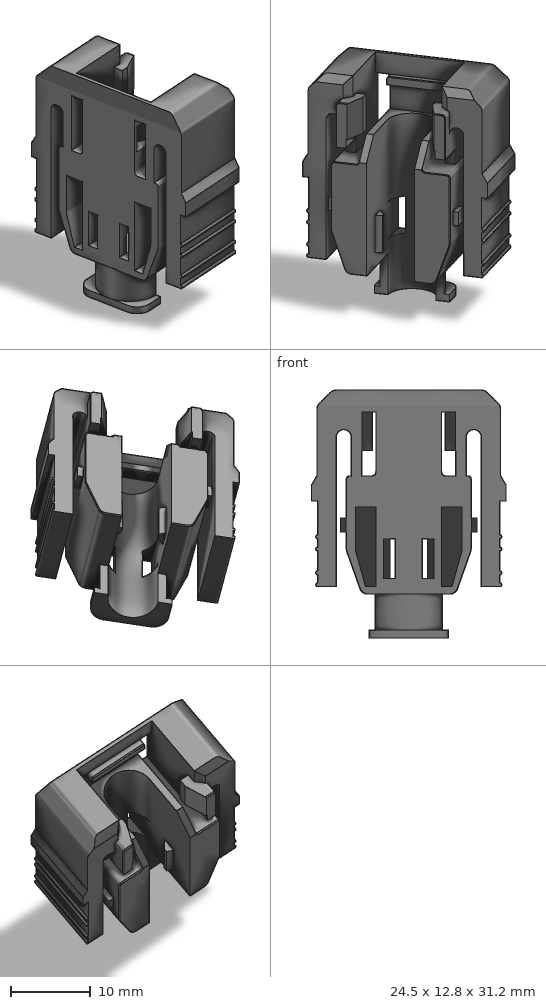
import cadquery as cq
import math

HEIGHT = 31.2
FRAME_DEPTH = 11.0
FRAME_HALF = 11.55
PANEL = 1.05
TOP_BEVEL = 2.0
BEVEL_ROUND = 1.0
FRONT_TAPER_ANGLE = 15.0
BACK_BEVEL = 1.0
CAVITY_HALF = 5.9

LEG_OUTER = 11.45
LEG_INNER = 9.1
LEG_BOTTOM = 6.45
LATCH_WIDTH = 24.5
LATCH_HALF = LATCH_WIDTH / 2
LATCH_BOTTOM = 17.22
LATCH_TOP = 19.25
LATCH_RAMP_TOP = 20.45
RIB_RADIUS = 0.25
RIB_HEIGHTS = (6.7, 8.2, 11.2, 12.73)

STEM_OUTER = 7.25
SLOT_TOP = 26.2
SLOT_RADIUS = (LEG_INNER - STEM_OUTER) / 2

BODY_DEPTH = 12.8
BODY_HALF = 7.85
BODY_TOP = 20.4
BODY_BOTTOM = 5.52
BODY_TAPER_TOP = 11.05
BODY_BOTTOM_HALF = 5.9
BODY_BOTTOM_ROUND = 1.0
CORNER_ROUND = 0.5
SHOULDER_ROUND = 0.45

EASE_LENGTH = 0.2
EASE_ANGLE = 20.0

CHANNEL_RADIUS = 3.18
CHANNEL_OUTER = 4.15
CHANNEL_TOP = 23.6
CHANNEL_SLOPE_DROP = 2.87

BAR_BOTTOM = 27.27
BAR_DEPTH = 2.03
WINDOW_TOP = 28.42
THIN_PANEL = 0.5

TOWER_BOTTOM = 22.43
HOOK_FRONT = 8.8
HOOK_STRAIGHT_BACK = 9.85
HOOK_TIP = 4.6
HOOK_ROOT = 5.77

POCKET_TOP = 16.47
POCKET_TAPER_TOP = BODY_TAPER_TOP
POCKET_OUTER = 6.7
POCKET_BOTTOM_OUTER = 5.43
POCKET_DEPTH = BODY_DEPTH - PANEL
PORT_INNER = 1.72
PORT_BOTTOM = 7.52
PORT_TOP = 12.48

CATCH_TIP = 2.35
CATCH_FRONT = 7.35
CATCH_TIP_FRONT = 8.45
CATCH_TIP_BACK = 9.0
CATCH_BACK = 9.33
TAB_TIP = 8.6
TAB_BOTTOM = 13.32
TAB_TOP = 15.13
TAB_FRONT = 9.55
TAB_BACK = 11.55

PIN_RADIUS = 4.25
FLANGE_HALF = 5.0
FLANGE_THICKNESS = 1.0
FLANGE_ROUND = 2.03


def box(x0, x1, y0, y1, z0, z1):
    return cq.Workplane("XY").box(x1 - x0, y1 - y0, z1 - z0, centered=False).translate((x0, y0, z0))


def both(half):
    """Return a right-hand shape together with its mirror image."""
    return half.union(half.mirror("YZ"))


def front_prism(outline, depth):
    """Extrude a closed outline of (x, z) points from the front face toward +Y."""
    return cq.Workplane("XZ").polyline(outline).close().extrude(-depth)


def round_edge(prism, x, z, radius):
    """Round the front-to-back edge of a prism that runs through (x, z)."""
    middle = prism.val().Center().y
    return prism.edges(cq.selectors.NearestToPointSelector((x, middle, z))).fillet(radius)


def ease_back_end(prism):
    """Extend a front-to-back prism by a short tapered end."""
    back_outline = prism.faces(">Y").wires().toPending().workplane()
    end = back_outline.extrude(EASE_LENGTH, taper=EASE_ANGLE, combine=False)
    return prism.union(end)


def make_frame():
    half = front_prism(
        [
            (0, HEIGHT),
            (FRAME_HALF - TOP_BEVEL, HEIGHT),
            (FRAME_HALF, HEIGHT - TOP_BEVEL),
            (FRAME_HALF, LATCH_RAMP_TOP),
            (LATCH_HALF, LATCH_TOP),
            (LATCH_HALF, LATCH_BOTTOM),
            (LEG_OUTER, LATCH_BOTTOM),
            (LEG_OUTER, LEG_BOTTOM),
            (0, LEG_BOTTOM),
        ],
        FRAME_DEPTH,
    )
    half = round_edge(half, FRAME_HALF - TOP_BEVEL, HEIGHT, BEVEL_ROUND)
    half = round_edge(half, FRAME_HALF, HEIGHT - TOP_BEVEL, BEVEL_ROUND)

    slot_middle = LEG_INNER - SLOT_RADIUS
    slot = box(STEM_OUTER, LEG_INNER, 0, FRAME_DEPTH, LEG_BOTTOM, SLOT_TOP - SLOT_RADIUS)
    slot_end = (
        cq.Workplane("XZ")
        .center(slot_middle, SLOT_TOP - SLOT_RADIUS)
        .circle(SLOT_RADIUS)
        .extrude(-FRAME_DEPTH)
    )
    below_panel = box(0, LEG_INNER, 0, FRAME_DEPTH, LEG_BOTTOM, BODY_TOP)
    cavity = box(0, CAVITY_HALF, PANEL, FRAME_DEPTH, BODY_TOP, HEIGHT)
    half = half.cut(slot).cut(slot_end).cut(below_panel).cut(cavity)

    for height in RIB_HEIGHTS:
        rib = cq.Workplane("XZ").center(LEG_OUTER, height).circle(RIB_RADIUS).extrude(-FRAME_DEPTH)
        half = half.union(rib)
    return both(half)


def bevel_frame_top(frame):
    taper_depth = TOP_BEVEL * math.tan(math.radians(FRONT_TAPER_ANGLE))
    front_wedge = (
        cq.Workplane("YZ")
        .polyline([(0, HEIGHT - TOP_BEVEL), (taper_depth, HEIGHT), (0, HEIGHT)])
        .close()
        .extrude(FRAME_HALF, both=True)
    )
    back_wedge = (
        cq.Workplane("YZ")
        .polyline(
            [(FRAME_DEPTH - BACK_BEVEL, HEIGHT), (FRAME_DEPTH, HEIGHT), (FRAME_DEPTH, HEIGHT - BACK_BEVEL)]
        )
        .close()
        .extrude(FRAME_HALF, both=True)
    )
    inner_wedge = (
        cq.Workplane("XY")
        .workplane(offset=WINDOW_TOP)
        .polyline(
            [
                (CAVITY_HALF, FRAME_DEPTH - BACK_BEVEL),
                (CAVITY_HALF + BACK_BEVEL, FRAME_DEPTH),
                (CAVITY_HALF, FRAME_DEPTH),
            ]
        )
        .close()
        .extrude(HEIGHT - WINDOW_TOP)
    )
    return frame.cut(front_wedge).cut(back_wedge).cut(both(inner_wedge))


def make_towers():
    block = box(0, STEM_OUTER, 0, BODY_DEPTH - EASE_LENGTH, BODY_TOP, WINDOW_TOP)
    block = ease_back_end(block.edges("|Y and >X and >Z").fillet(CORNER_ROUND))
    stem = box(CAVITY_HALF, STEM_OUTER, HOOK_FRONT, BODY_DEPTH, TOWER_BOTTOM, WINDOW_TOP)
    hook = (
        cq.Workplane("XY")
        .workplane(offset=CHANNEL_TOP)
        .polyline(
            [
                (CAVITY_HALF, HOOK_FRONT),
                (HOOK_TIP, HOOK_FRONT),
                (HOOK_TIP, HOOK_STRAIGHT_BACK),
                (HOOK_ROOT, BODY_DEPTH),
                (CAVITY_HALF, BODY_DEPTH),
            ]
        )
        .close()
        .extrude(WINDOW_TOP - CHANNEL_TOP)
    )
    return both(stem.union(hook).intersect(block))


def make_body():
    """Body with side pockets and tabs, and the channel walls that rise above it."""
    half = front_prism(
        [
            (0, CHANNEL_TOP),
            (CHANNEL_OUTER, CHANNEL_TOP),
            (CHANNEL_OUTER, BODY_TOP),
            (BODY_HALF, BODY_TOP),
            (BODY_HALF, BODY_TAPER_TOP),
            (BODY_BOTTOM_HALF, BODY_BOTTOM),
            (0, BODY_BOTTOM),
        ],
        BODY_DEPTH - EASE_LENGTH,
    )
    half = round_edge(half, CHANNEL_OUTER, BODY_TOP, CORNER_ROUND)
    half = round_edge(half, BODY_HALF, BODY_TOP, SHOULDER_ROUND)
    half = round_edge(half, BODY_HALF, BODY_TAPER_TOP, BODY_BOTTOM_ROUND)
    half = round_edge(half, BODY_BOTTOM_HALF, BODY_BOTTOM, BODY_BOTTOM_ROUND)
    half = ease_back_end(half)

    wall_slope = (
        cq.Workplane("YZ")
        .polyline(
            [
                (BODY_DEPTH, CHANNEL_TOP - CHANNEL_SLOPE_DROP),
                (BODY_DEPTH, CHANNEL_TOP),
                (BODY_DEPTH - CHANNEL_SLOPE_DROP, CHANNEL_TOP),
            ]
        )
        .close()
        .extrude(CHANNEL_OUTER)
    )
    pocket = front_prism(
        [
            (CHANNEL_OUTER, POCKET_TOP),
            (POCKET_OUTER, POCKET_TOP),
            (POCKET_OUTER, POCKET_TAPER_TOP),
            (POCKET_BOTTOM_OUTER, LEG_BOTTOM),
            (CHANNEL_OUTER, LEG_BOTTOM),
        ],
        POCKET_DEPTH,
    )
    tab = box(BODY_HALF, TAB_TIP, TAB_FRONT, TAB_BACK, TAB_BOTTOM, TAB_TOP)
    return both(half.cut(wall_slope).cut(pocket).union(tab))


def make_bar():
    bar = box(-CHANNEL_OUTER, CHANNEL_OUTER, PANEL, BAR_DEPTH - EASE_LENGTH, BAR_BOTTOM, WINDOW_TOP)
    return ease_back_end(bar.edges("|Y and >Z").fillet(SHOULDER_ROUND))


def make_pin():
    pin = cq.Workplane("XY").center(0, PIN_RADIUS).circle(PIN_RADIUS).extrude(BODY_BOTTOM)
    pin = pin.intersect(box(-PIN_RADIUS, PIN_RADIUS, 0, PIN_RADIUS, 0, BODY_BOTTOM))
    flange = box(-FLANGE_HALF, FLANGE_HALF, 0, PIN_RADIUS, 0, FLANGE_THICKNESS)
    return pin.union(flange.edges("|Z and <Y").fillet(FLANGE_ROUND))


def make_channel_cut():
    """U-shaped channel that runs from the flange to the top of its walls."""
    bore = cq.Workplane("XY").center(0, PIN_RADIUS).circle(CHANNEL_RADIUS).extrude(CHANNEL_TOP)
    return bore.union(box(-CHANNEL_RADIUS, CHANNEL_RADIUS, PIN_RADIUS, BODY_DEPTH, 0, CHANNEL_TOP))


def make_openings():
    window = box(CHANNEL_OUTER, CAVITY_HALF, 0, PANEL, BODY_TOP, WINDOW_TOP)
    window = window.edges("|Y and <X and <Z").fillet(CORNER_ROUND)
    port = box(PORT_INNER, CHANNEL_RADIUS, 0, PIN_RADIUS, PORT_BOTTOM, PORT_TOP)
    thinning = box(0, CHANNEL_OUTER, THIN_PANEL, PANEL, CHANNEL_TOP, BAR_BOTTOM)
    return both(window.union(port).union(thinning))


def make_catches():
    catch = (
        cq.Workplane("XY")
        .workplane(offset=PORT_BOTTOM)
        .polyline(
            [
                (CHANNEL_RADIUS, CATCH_FRONT),
                (CATCH_TIP, CATCH_TIP_FRONT),
                (CATCH_TIP, CATCH_TIP_BACK),
                (CHANNEL_RADIUS, CATCH_BACK),
            ]
        )
        .close()
        .extrude(PORT_TOP - PORT_BOTTOM)
    )
    return both(catch)


stem_gap = both(box(CAVITY_HALF, STEM_OUTER, HOOK_FRONT, BODY_DEPTH, BODY_TOP, TOWER_BOTTOM))

result = bevel_frame_top(make_frame()).cut(stem_gap)
for feature in (make_towers(), make_body(), make_bar(), make_pin()):
    result = result.union(feature)
result = result.cut(make_channel_cut()).cut(make_openings()).union(make_catches())